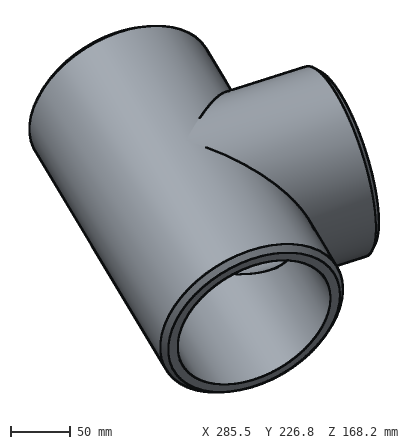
import cadquery as cq

run_length = 285.5
outer_diameter = 168.2
bore_diameter = 140.5
end_chamfer = 5.0

half_run = run_length / 2
branch_reach = half_run


def run_cylinder(diameter):
    """Cylinder along X, centred on the origin."""
    return cq.Workplane("YZ").circle(diameter / 2).extrude(half_run, both=True)


def branch_cylinder(diameter):
    """Cylinder from the run axis out to the branch end."""
    return cq.Workplane("XZ").circle(diameter / 2).extrude(-branch_reach)


outer_run = run_cylinder(outer_diameter).faces("<X or >X").chamfer(end_chamfer)
outer_branch = branch_cylinder(outer_diameter).faces(">Y").chamfer(end_chamfer)
body = outer_run.union(outer_branch)

result = body.cut(run_cylinder(bore_diameter)).cut(branch_cylinder(bore_diameter))